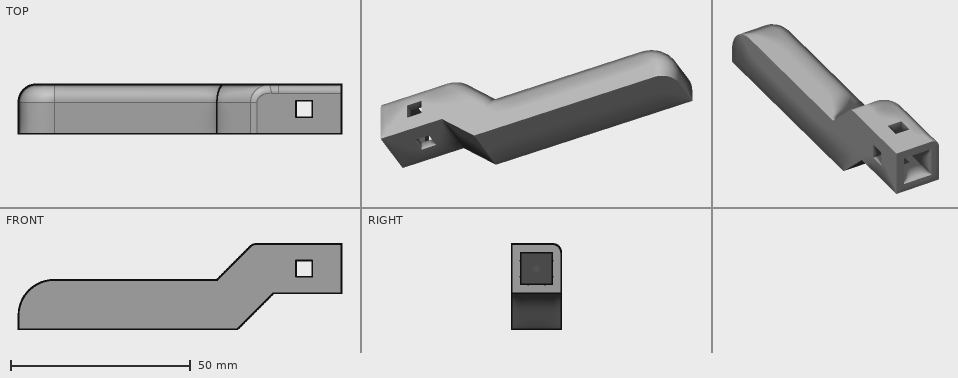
import cadquery as cq
import math

length = 90.0
bar_size = 13.8
crank_rise = 10.0
crank_angle = 45.0
grip_bottom_length = 61.0

nose_radius = 10.0
grip_edge_radius = 5.0
head_edge_radius = 2.5

socket_wall = 2.5
hole_size = 4.5
hole_to_end = 10.45

crank_run = crank_rise / math.tan(math.radians(crank_angle))
mitre_shift = bar_size * math.tan(math.radians(crank_angle / 2))
head_bottom_start = grip_bottom_length + crank_run
grip_top_end = grip_bottom_length - mitre_shift
head_top_start = grip_top_end + crank_run
head_top = bar_size + crank_rise
nose_mid_offset = nose_radius * (1 - math.sqrt(0.5))
socket_size = bar_size - 2 * socket_wall
socket_depth = length - head_bottom_start
hole_x = length - hole_to_end
head_mid_y = bar_size / 2
head_mid_z = crank_rise + bar_size / 2


def cranked_bar():
    """Side outline with the rounded nose, extruded from y = 0 to the back face."""
    outline = (
        cq.Workplane("XZ")
        .moveTo(0, 0)
        .lineTo(grip_bottom_length, 0)
        .lineTo(head_bottom_start, crank_rise)
        .lineTo(length, crank_rise)
        .lineTo(length, head_top)
        .lineTo(head_top_start, head_top)
        .lineTo(grip_top_end, bar_size)
        .lineTo(nose_radius, bar_size)
        .threePointArc(
            (nose_mid_offset, bar_size - nose_mid_offset),
            (0, bar_size - nose_radius),
        )
        .close()
    )
    return outline.extrude(-bar_size)


def edges_at(body, *points):
    """Select the edge nearest to each of the given points."""
    picked = body.edges(cq.NearestToPointSelector(points[0]))
    for point in points[1:]:
        picked = picked.add(body.edges(cq.NearestToPointSelector(point)))
    return picked


def round_grip_edges(body):
    """Round the back edge up the nose, along the grip and up the crank."""
    return edges_at(
        body,
        (0, bar_size, (bar_size - nose_radius) / 2),
        (nose_mid_offset, bar_size, bar_size - nose_mid_offset),
        ((nose_radius + grip_top_end) / 2, bar_size, bar_size),
        ((grip_top_end + head_top_start) / 2, bar_size, (bar_size + head_top) / 2),
    ).fillet(grip_edge_radius)


def round_head_edges(body):
    """Round the top of the head along the crank, its corner and the back edge."""
    return body.faces(">Z").edges("not(<Y or >X)").fillet(head_edge_radius)


def cut_socket(body):
    """Cut the square socket along X, open at the end of the head."""
    center = (length - socket_depth / 2, head_mid_y, head_mid_z)
    socket = cq.Workplane("XY").box(socket_depth, socket_size, socket_size).translate(center)
    return body.cut(socket)


def cut_holes(body):
    """Cut one square hole along Y and one along Z, crossing inside the socket."""
    center = (hole_x, head_mid_y, head_mid_z)
    through = 2 * bar_size
    along_y = cq.Workplane("XY").box(hole_size, through, hole_size).translate(center)
    along_z = cq.Workplane("XY").box(hole_size, hole_size, through).translate(center)
    return body.cut(along_y).cut(along_z)


body = cranked_bar()
body = round_grip_edges(body)
body = round_head_edges(body)
body = cut_socket(body)
result = cut_holes(body)